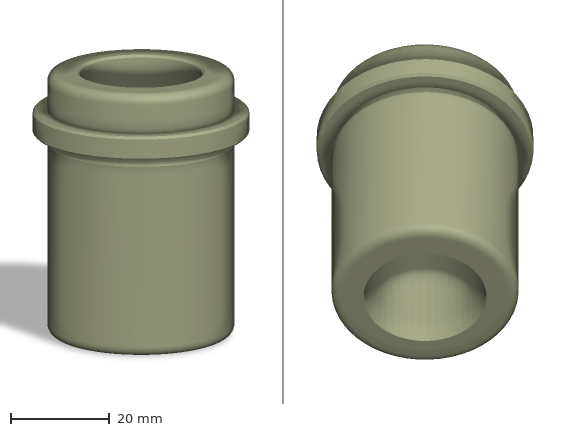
import cadquery as cq
import math

total_height = 55.0
body_radius = 19.0
end_round = 2.0

collar_radius = 22.0
collar_top = total_height - 8.0
collar_height = 5.0
collar_bottom = collar_top - collar_height
collar_chamfer = 0.5

relief_height = 2.0
relief_depth = 0.6
relief_bottom = collar_bottom - relief_height
relief_radius = (relief_height**2 + relief_depth**2) / (2 * relief_depth)

bore_radius = 12.5
bore_chamfer = 0.5


def make_body():
    body = cq.Workplane("XY").circle(body_radius).extrude(total_height)
    return body.faces("<Z or >Z").edges().fillet(end_round)


def make_relief():
    """Ring cut from the body; its arc wall runs parallel to the axis where it meets the collar."""
    floor_radius = body_radius - relief_depth
    arc_center_radius = floor_radius + relief_radius
    mid_angle = math.asin(relief_height / relief_radius) / 2
    arc_middle = (
        arc_center_radius - relief_radius * math.cos(mid_angle),
        collar_bottom - relief_radius * math.sin(mid_angle),
    )
    return (
        cq.Workplane("XZ")
        .moveTo(body_radius, relief_bottom)
        .threePointArc(arc_middle, (floor_radius, collar_bottom))
        .lineTo(body_radius, collar_bottom)
        .close()
        .revolve(360, (0, 0, 0), (0, 1, 0))
    )


def make_collar():
    collar = cq.Workplane("XY").workplane(offset=collar_bottom).circle(collar_radius).extrude(collar_height)
    return collar.faces("<Z or >Z").edges().chamfer(collar_chamfer)


def make_bore():
    """Through bore with a chamfered mouth at the top."""
    bore = cq.Workplane("XY").circle(bore_radius).extrude(total_height)
    mouth = (
        cq.Workplane("XY")
        .workplane(offset=total_height)
        .circle(bore_radius + bore_chamfer)
        .workplane(offset=-bore_chamfer)
        .circle(bore_radius)
        .loft(ruled=True)
    )
    return bore.union(mouth)


result = make_body().cut(make_relief()).union(make_collar()).cut(make_bore())